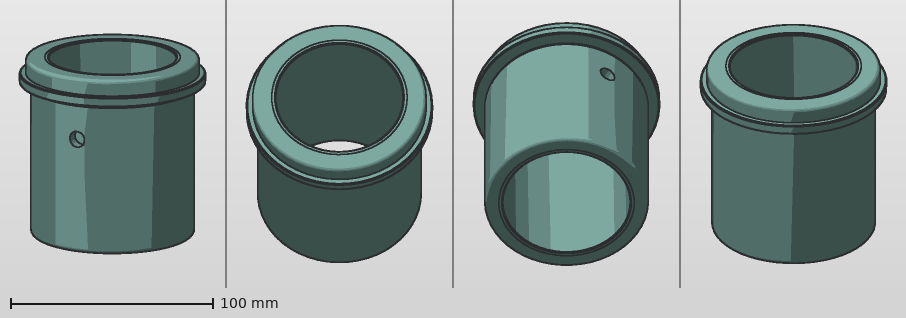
import cadquery as cq
import math

total_height = 90.0
head_height = 8.0
flange_thickness = 5.0
flange_top = total_height - head_height
flange_bottom = flange_top - flange_thickness

flange_radius = 46.0
head_radius = 42.95
body_radius = 40.5
liner_outer_radius = 33.5
bore_radius = 31.45

rim_fillet = 2.0
flange_chamfer = 0.55
liner_chamfer = 0.55

relief_height = 2.0
relief_depth = 1.0

oil_hole_diameter = 8.0
oil_hole_depth = 6.0
oil_hole_z = total_height - 32.0


def make_sleeve():
    """Flanged outer sleeve with the oil hole."""
    relief_bottom = flange_bottom - relief_height
    relief_floor = body_radius - relief_depth
    arc_radius = (relief_height**2 + relief_depth**2) / (2 * relief_depth)
    half_angle = math.asin(relief_height / arc_radius) / 2
    arc_mid_radius = relief_floor + arc_radius * (1 - math.cos(half_angle))
    arc_mid_z = flange_bottom - arc_radius * math.sin(half_angle)

    body = (
        cq.Workplane("XZ")
        .moveTo(liner_outer_radius, 0)
        .lineTo(body_radius, 0)
        .lineTo(body_radius, relief_bottom)
        .threePointArc((arc_mid_radius, arc_mid_z), (relief_floor, flange_bottom))
        .lineTo(liner_outer_radius, flange_bottom)
        .close()
        .revolve(360, (0, 0, 0), (0, 1, 0))
        .faces("<Z").edges(cq.selectors.RadiusNthSelector(-1)).fillet(rim_fillet)
    )
    flange = (
        cq.Workplane("XY", origin=(0, 0, flange_bottom))
        .circle(flange_radius)
        .extrude(flange_thickness)
        .edges().chamfer(flange_chamfer)
    )
    head = (
        cq.Workplane("XY", origin=(0, 0, flange_top))
        .circle(head_radius)
        .extrude(head_height)
        .edges(">Z").fillet(rim_fillet)
    )
    liner_seat = cq.Workplane("XY").circle(liner_outer_radius).extrude(total_height)
    oil_hole = (
        cq.Workplane("XZ", origin=(0, -body_radius, oil_hole_z))
        .circle(oil_hole_diameter / 2)
        .extrude(-oil_hole_depth)
    )
    return body.union(flange).union(head).cut(liner_seat).cut(oil_hole).solids()


def make_liner():
    """Thin bearing liner filling the sleeve bore, chamfered at both ends of its own bore."""
    tube = (
        cq.Workplane("XY")
        .circle(liner_outer_radius)
        .circle(bore_radius)
        .extrude(total_height)
    )
    return tube.edges(cq.selectors.RadiusNthSelector(0)).chamfer(liner_chamfer)


sleeve = make_sleeve()
liner = make_liner()

result = cq.Compound.makeCompound([sleeve.val(), liner.val()])